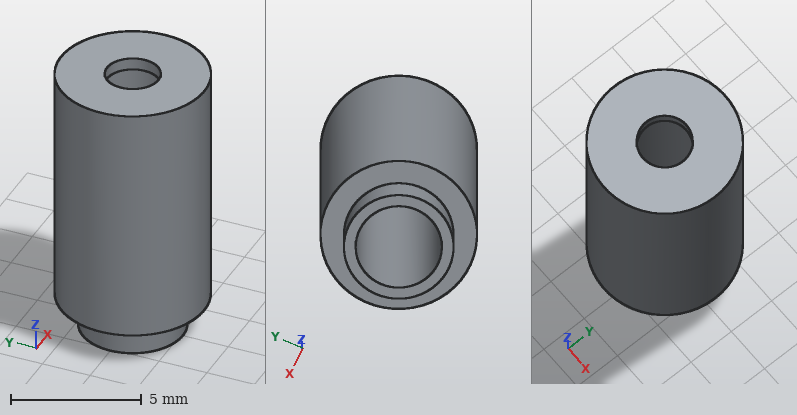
import cadquery as cq

total_height = 11.4
body_diameter = 6.0
body_height = 10.0

spigot_diameter = 4.2
spigot_height = total_height - body_height

top_hole_diameter = 2.15
top_hole_depth = 0.5
bore_diameter = 3.3
bore_depth = total_height - top_hole_depth


def cylinder(diameter, height, bottom):
    """Upright cylinder on the Z axis, standing at the given bottom level."""
    return cq.Workplane("XY").workplane(offset=bottom).circle(diameter / 2).extrude(height)


def make_outside():
    """Stepped outer shape, with the body standing on Z = 0."""
    body = cylinder(body_diameter, body_height, 0)
    spigot = cylinder(spigot_diameter, spigot_height, -spigot_height)
    return body.union(spigot)


def make_passage():
    """Stepped space running through the part from top to bottom."""
    bore = cylinder(bore_diameter, bore_depth, -spigot_height)
    top_hole = cylinder(top_hole_diameter, top_hole_depth, body_height - top_hole_depth)
    return bore.union(top_hole)


result = make_outside().cut(make_passage())